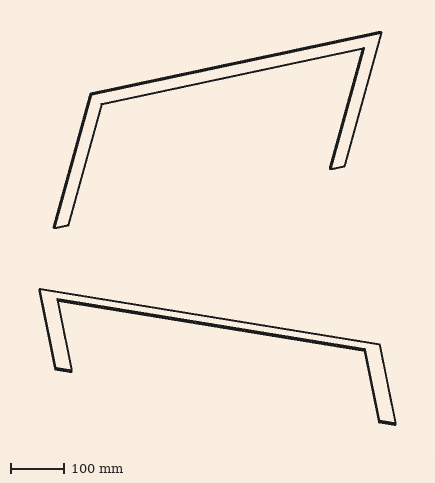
import cadquery as cq

span = 660.5
leg_length = 323.5
thickness = 4.0
leg_width = 32.0
crossbar_width = 30.5
tilt = 22.5


def upright_frame():
    """Flat frame standing on its two legs, open at the bottom."""
    plate = cq.Workplane("XY").box(thickness, span, leg_length)
    opening = (
        cq.Workplane("XY")
        .box(thickness, span - 2 * leg_width, leg_length - crossbar_width)
        .translate((0, 0, -crossbar_width / 2))
    )
    return plate.cut(opening)


result = upright_frame().rotate((0, 0, 0), (0, 1, 0), tilt)